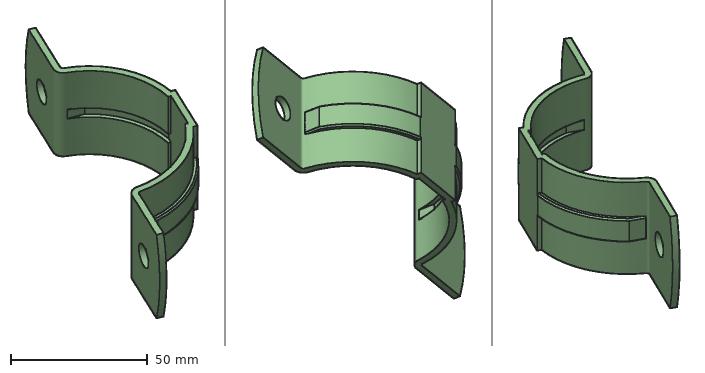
import cadquery as cq
import math

length = 131.5
height = 37.0
width = 40.0
thickness = 2.8

inner_radius = 35.1
outer_radius = inner_radius + thickness
bow_centre_y = -1.0

crown_outer_half = 10.9
crown_inner_half = 8.3
crown_underside = height - thickness

bend_inner_radius = 1.2
bend_outer_radius = bend_inner_radius + thickness

bead_rise = 1.8
bead_width = 10.1
bead_side_x = 38.0
bead_base_y = thickness + bend_inner_radius
bead_edge_chamfer = 0.7

groove_depth = 1.7
groove_width = 4.3
groove_side_x = 34.9

end_radius = length / 2
hole_spacing = 100.0
hole_diameter = 9.5


def extrude_centred(sketch, depth):
    """Extrude an XY outline equally to both sides of Z = 0."""
    return sketch.extrude(depth / 2, both=True)


def trimmed_disc(radius, max_x, max_y, depth):
    """Cylinder about the bow axis, trimmed above the foot bends, at the crown and at the straight sides."""
    disc = extrude_centred(cq.Workplane("XY").center(0, bow_centre_y).circle(radius), depth)
    window = cq.Workplane("XY").box(2 * max_x, max_y - bead_base_y, depth)
    return disc.intersect(window.translate((0, (max_y + bead_base_y) / 2, 0)))


def arc_x(radius, y):
    """Half-width of a circle about the bow axis at height y."""
    return math.sqrt(radius**2 - (y - bow_centre_y) ** 2)


def arc_y(radius, x):
    """Height of a circle about the bow axis at half-width x."""
    return bow_centre_y + math.sqrt(radius**2 - x**2)


def make_strap():
    """Bent strip with feet, bow and flat crown."""
    outer_foot_x = arc_x(outer_radius, thickness)
    inner_foot_x = arc_x(inner_radius, 0)
    outer_crown_y = arc_y(outer_radius, crown_outer_half)
    inner_crown_y = arc_y(inner_radius, crown_inner_half)

    diagonal = math.sqrt(0.5)
    outer_mid = (outer_radius * diagonal, bow_centre_y + outer_radius * diagonal)
    inner_mid = (inner_radius * diagonal, bow_centre_y + inner_radius * diagonal)

    half = extrude_centred(
        cq.Workplane("XY")
        .moveTo(0, height)
        .lineTo(crown_outer_half, height)
        .lineTo(crown_outer_half, outer_crown_y)
        .threePointArc(outer_mid, (outer_foot_x, thickness))
        .lineTo(length / 2, thickness)
        .lineTo(length / 2, 0)
        .lineTo(inner_foot_x, 0)
        .threePointArc(inner_mid, (crown_inner_half, inner_crown_y))
        .lineTo(crown_inner_half, crown_underside)
        .lineTo(0, crown_underside)
        .close(),
        width,
    )
    half = half.edges(cq.NearestToPointSelector((inner_foot_x, 0, 0))).fillet(bend_outer_radius)
    half = half.edges(cq.NearestToPointSelector((outer_foot_x, thickness, 0))).fillet(bend_inner_radius)
    return half.union(half.mirror("YZ"))


def make_bead():
    """Raised outer band with chamfered long edges."""
    core = trimmed_disc(inner_radius + thickness / 2, bead_side_x, crown_underside, bead_width)
    band = trimmed_disc(outer_radius + bead_rise, bead_side_x, height, bead_width)
    band = band.faces("|Z").edges("not #Y").chamfer(bead_edge_chamfer)
    return band.cut(core)


def make_groove():
    """Inner hollow of the bead, flush with the underside of the crown."""
    return trimmed_disc(inner_radius + groove_depth, groove_side_x, crown_underside, groove_width)


strap = make_strap().union(make_bead()).cut(make_groove())

end_outline = cq.Workplane("XZ").circle(end_radius).extrude(-height)
strap = strap.intersect(end_outline)

holes = (
    cq.Workplane("XZ")
    .pushPoints([(-hole_spacing / 2, 0), (hole_spacing / 2, 0)])
    .circle(hole_diameter / 2)
    .extrude(-thickness)
)
result = strap.cut(holes)